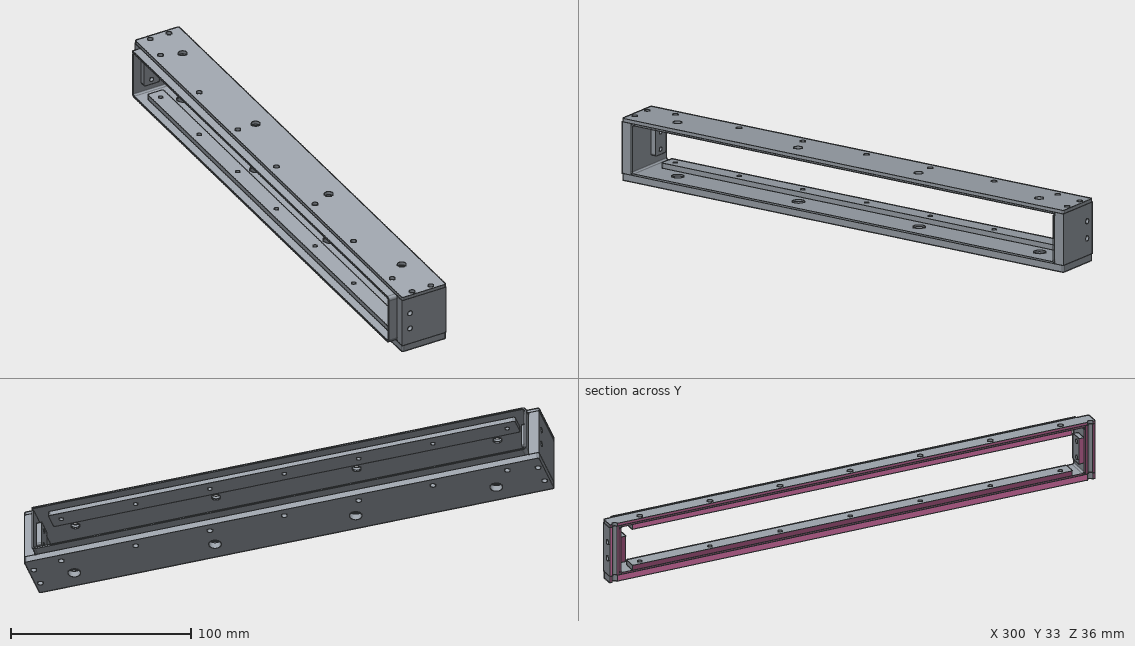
import cadquery as cq

length = 300.0
depth = 28.0
bottom_thickness = 4.0
top_thickness = 2.0
block_width = 6.0
block_height = 30.0
plate_corner_radius = 1.0

liner_thickness = 1.0
liner_overhang = 5.0
liner_outer_radius = 2.0
seam_gap = 1.0

strip_length = 272.0
strip_width = 10.0
strip_thickness = 3.0
strip_corner_radius = 1.0
pad_height = 16.0
pad_width = 10.0
pad_thickness = 3.0
pad_corner_radius = 1.0

clearance_hole_diameter = 3.2
tapped_hole_diameter = 2.5
pad_hole_diameter = 3.0
strip_hole_count = 7
strip_hole_span = 260.0
pad_hole_spacing = 10.0
end_hole_ys = (8.0, 20.0)

roof_hole_diameter = 5.0
floor_hole_diameter = 7.0
floor_hole_shift_x = -0.8
floor_hole_y = 17.2
large_hole_count = 4
large_hole_pitch = 82.0
first_roof_hole_x = -125.5
roof_hole_y = 16.5

block_top = bottom_thickness + block_height
total_height = block_top + top_thickness
middle_z = bottom_thickness + block_height / 2
liner_length = length - 2 * block_width
liner_inner_length = liner_length - 2 * liner_thickness
liner_inner_height = block_height - 2 * liner_thickness
liner_floor = bottom_thickness + liner_thickness
liner_ceiling = block_top - liner_thickness
block_x = (length - block_width) / 2
pad_x = (liner_inner_length - pad_thickness) / 2
strip_y = strip_width / 2
pad_y = pad_width / 2

strip_hole_pitch = strip_hole_span / (strip_hole_count - 1)
strip_hole_points = [
    (-strip_hole_span / 2 + i * strip_hole_pitch, strip_y) for i in range(strip_hole_count)
]
roof_hole_points = [
    (first_roof_hole_x + i * large_hole_pitch, roof_hole_y) for i in range(large_hole_count)
]
floor_hole_points = [(x + floor_hole_shift_x, floor_hole_y) for x, _ in roof_hole_points]
end_hole_points = [(side * block_x, y) for side in (-1, 1) for y in end_hole_ys]
pad_hole_points = [(pad_y, middle_z + side * pad_hole_spacing / 2) for side in (-1, 1)]


def vertical_drills(points, diameter, start_z=0, end_z=total_height):
    """Upright cylinders between two heights, by default through the whole frame."""
    drills = cq.Workplane("XY", origin=(0, 0, start_z)).pushPoints(points)
    return drills.circle(diameter / 2).extrude(end_z - start_z)


def lengthwise_drills(points, diameter):
    """Cylinders running through the full length of the frame."""
    return cq.Workplane("YZ").pushPoints(points).circle(diameter / 2).extrude(length / 2, both=True)


strip_clearance_drills = vertical_drills(strip_hole_points, clearance_hole_diameter)
strip_tap_drills = vertical_drills(strip_hole_points, tapped_hole_diameter)
roof_large_drills = vertical_drills(roof_hole_points, roof_hole_diameter, middle_z, total_height)
floor_large_drills = vertical_drills(floor_hole_points, floor_hole_diameter, 0, middle_z)
end_clearance_drills = vertical_drills(end_hole_points, clearance_hole_diameter)
end_tap_drills = vertical_drills(end_hole_points, tapped_hole_diameter)
pad_clearance_drills = lengthwise_drills(pad_hole_points, pad_hole_diameter)
pad_tap_drills = lengthwise_drills(pad_hole_points, tapped_hole_diameter)


def make_plate(base_z, thickness):
    """Top or bottom plate with rounded corners and all vertical holes."""
    plate = (
        cq.Workplane("XY", origin=(0, depth / 2, base_z))
        .rect(length, depth)
        .extrude(thickness)
        .edges("|Z")
        .fillet(plate_corner_radius)
    )
    plate = plate.cut(roof_large_drills).cut(floor_large_drills)
    return plate.cut(strip_clearance_drills).cut(end_clearance_drills)


def make_end_block(side):
    """Block closing one end between the two plates."""
    block = (
        cq.Workplane("XY", origin=(side * block_x, depth / 2, bottom_thickness))
        .rect(block_width, depth)
        .extrude(block_height)
    )
    return block.cut(end_tap_drills).cut(pad_clearance_drills)


def make_liner():
    """Sheet folded at three rounded corners; its ends meet at a narrow seam at the upper -X corner."""
    liner_depth = depth + liner_overhang
    front = cq.Workplane("XZ", origin=(0, depth, middle_z))
    outer = front.rect(liner_length, block_height).extrude(liner_depth)
    outer = outer.edges("|Y").edges("<Z or >X").fillet(liner_outer_radius)
    opening = front.rect(liner_inner_length, liner_inner_height).extrude(liner_depth)
    opening = opening.edges("|Y").edges("<Z or >X").fillet(liner_outer_radius - liner_thickness)
    seam = cq.Workplane("XY").box(liner_thickness, liner_depth, seam_gap, centered=(False, False, False))
    seam = seam.translate((-liner_length / 2, -liner_overhang, liner_ceiling - seam_gap))
    liner = outer.cut(opening).cut(seam)
    liner = liner.cut(roof_large_drills).cut(floor_large_drills)
    return liner.cut(strip_clearance_drills).cut(pad_clearance_drills)


def make_strip(base_z):
    """Long flat strip with rounded corners and a row of holes."""
    strip = (
        cq.Workplane("XY", origin=(0, strip_y, base_z))
        .rect(strip_length, strip_width)
        .extrude(strip_thickness)
        .edges("|Z")
        .fillet(strip_corner_radius)
    )
    return strip.cut(strip_tap_drills)


def make_pad(side):
    """Small upright pad with rounded corners and two holes."""
    pad = (
        cq.Workplane("XY", origin=(side * pad_x, pad_y, middle_z))
        .box(pad_thickness, pad_width, pad_height)
        .edges("|X")
        .fillet(pad_corner_radius)
    )
    return pad.cut(pad_tap_drills)


bottom_plate = make_plate(0, bottom_thickness)
top_plate = make_plate(block_top, top_thickness)
end_blocks = [make_end_block(side) for side in (-1, 1)]
liner = make_liner()
strips = [make_strip(z) for z in (liner_floor, liner_ceiling - strip_thickness)]
pads = [make_pad(side) for side in (-1, 1)]

bodies = [bottom_plate, top_plate, *end_blocks, liner, *strips, *pads]
result = cq.Compound.makeCompound([body.val() for body in bodies])